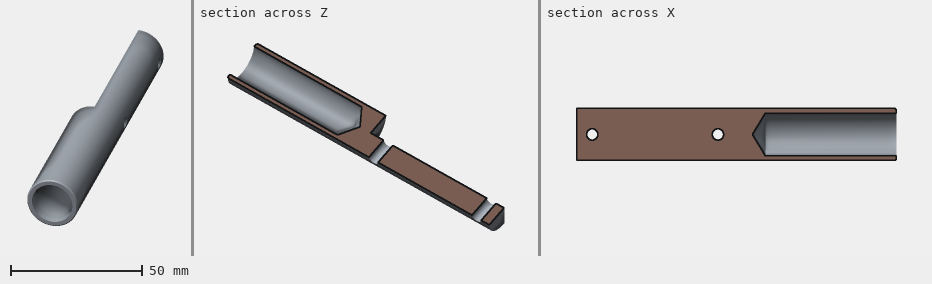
import cadquery as cq
import math

length = 122.0
outer_diameter = 20.0
tongue_length = 62.0
rim_chamfer = 0.5

bore_diameter = 16.0
bore_depth = 50.0
drill_point_angle = 118.0

hole_diameter = 4.1
end_hole_inset = 6.0
hole_spacing = 48.0

outer_radius = outer_diameter / 2
bore_radius = bore_diameter / 2
front_y = -length / 2
back_y = length / 2
bore_bottom_y = front_y + bore_depth
drill_tip_y = bore_bottom_y + bore_radius / math.tan(math.radians(drill_point_angle / 2))


def revolve_about_y(points):
    """Revolve a closed (radius, y) outline around the Y axis."""
    return cq.Workplane("XY").polyline(points).close().revolve(360, (0, 0, 0), (0, 1, 0))


def make_blank():
    """Round bar with a chamfered front rim and a drilled blind bore."""
    return revolve_about_y([
        (bore_radius, front_y),
        (outer_radius - rim_chamfer, front_y),
        (outer_radius, front_y + rim_chamfer),
        (outer_radius, back_y),
        (0, back_y),
        (0, drill_tip_y),
        (bore_radius, bore_bottom_y),
    ])


def make_tongue_relief():
    """Block that removes the -X half of the bar along the tongue."""
    return (
        cq.Workplane("XY")
        .box(outer_radius, tongue_length, outer_diameter, centered=(False, False, True))
        .translate((-outer_radius, back_y - tongue_length, 0))
    )


def make_cross_holes():
    """Two cylinders along X that pierce the tongue."""
    end_hole_y = back_y - end_hole_inset
    return (
        cq.Workplane("YZ")
        .pushPoints([(end_hole_y, 0), (end_hole_y - hole_spacing, 0)])
        .circle(hole_diameter / 2)
        .extrude(outer_radius)
    )


handle = make_blank().cut(make_tongue_relief()).cut(make_cross_holes())

result = cq.Compound.makeCompound([handle.val()])